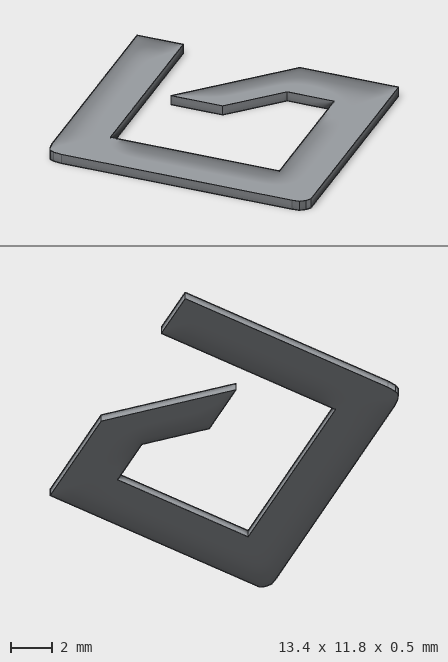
import cadquery as cq

length_x = 13.406
length_y = 11.836
thickness = 0.5
strip_width = 2.37
hook_outer_top_x = 8.345
hook_inner_top_x = 8.63

left_corner_insets = [(0, 0.805), (0.05, 0.38), (0.155, 0.165), (0.37, 0.06), (0.795, 0)]
right_corner_insets = [(0.795, 0), (0.424, 0.032), (0.155, 0.223), (0, 0.44)]

inner_right_x = length_x - strip_width
inner_top_y = length_y - strip_width
hook_end_y = inner_top_y - strip_width

hook_outer_tip_x = hook_outer_top_x - (length_y - hook_end_y)
hook_inner_tip_x = hook_inner_top_x - (inner_top_y - hook_end_y)


def left_corner():
    """Faceted lower left corner, from the left side down to the bottom edge."""
    return list(left_corner_insets)


def right_corner():
    """Faceted lower right corner, from the bottom edge up to the right side."""
    return [(length_x - inset_x, inset_y) for inset_x, inset_y in right_corner_insets]


def top_bar_and_hook():
    """Top bar from its upper right corner, round the slanted hook, back to its inside corner."""
    return [
        (length_x, length_y),
        (hook_outer_top_x, length_y),
        (hook_outer_tip_x, hook_end_y),
        (hook_inner_tip_x, hook_end_y),
        (hook_inner_top_x, inner_top_y),
        (inner_right_x, inner_top_y),
    ]


def inside_and_left_end():
    """Inside corners of the bottom bar, then the square end of the left bar."""
    return [
        (inner_right_x, strip_width),
        (strip_width, strip_width),
        (strip_width, length_y),
        (0, length_y),
    ]


outline = left_corner() + right_corner() + top_bar_and_hook() + inside_and_left_end()
result = cq.Workplane("XY").polyline(outline).close().extrude(thickness)